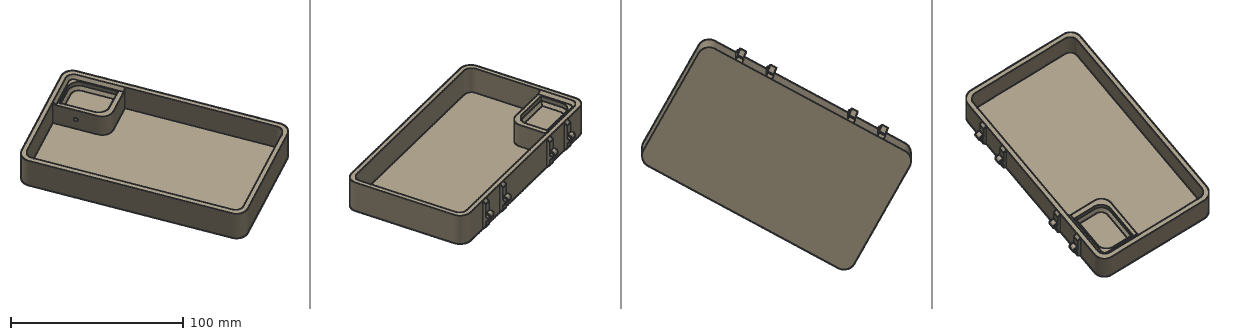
import cadquery as cq
import math

TRAY_LENGTH = 140.0
TRAY_WIDTH = 80.0
TRAY_HEIGHT = 20.0
WALL = 3.0
FLOOR = 3.0
OUTER_RADIUS = 7.0
INNER_RADIUS = 5.0

BLOCK_LENGTH = 35.0
BLOCK_WIDTH = 26.0
BLOCK_RADIUS = 7.0
BLOCK_TOP = 18.0
RIM_SLOPE = TRAY_HEIGHT - BLOCK_TOP

POCKET_LENGTH = 28.75
POCKET_WIDTH = 20.75
POCKET_RADIUS = 7.0
POCKET_DEPTH = 5.0
POCKET_CHAMFER = 2.0
POCKET_LEFT_RIM = 3.0
POCKET_FRONT_RIM = 2.5

HOLE_DIAMETER = 2.5
HOLE_DEPTH = 3.0
HOLE_Z = (BLOCK_TOP + FLOOR) / 2
HOLE_FROM_INNER_WALL = 14.25

LUG_WIDTH = 4.0
LUG_PLATE = 2.0
KNUCKLE_RADIUS = 2.0
PIN_DIAMETER = 2.5
PIN_OFFSET = 3.25
PIN_Z = TRAY_HEIGHT / 2
SUPPORT_FOOT_Z = 3.0
LUG_X = (-47.0, -27.0, 27.0, 47.0)

BACK = TRAY_WIDTH / 2
INNER_LEFT = WALL - TRAY_LENGTH / 2
INNER_BACK = BACK - WALL
BLOCK_FRONT = INNER_BACK - BLOCK_WIDTH


def cavity_prism(bottom, top):
    """Rounded prism with the plan outline of the tray's cavity."""
    return (
        cq.Workplane("XY", origin=(0, 0, bottom))
        .rect(TRAY_LENGTH - 2 * WALL, TRAY_WIDTH - 2 * WALL)
        .extrude(top - bottom)
        .edges("|Z")
        .fillet(INNER_RADIUS)
    )


def make_tray():
    """Open tray with rounded corners inside and out."""
    outside = (
        cq.Workplane("XY")
        .rect(TRAY_LENGTH, TRAY_WIDTH)
        .extrude(TRAY_HEIGHT)
        .edges("|Z")
        .fillet(OUTER_RADIUS)
    )
    return outside.cut(cavity_prism(FLOOR, TRAY_HEIGHT))


def make_block():
    """Corner block whose top slopes up to the rim along the tray's left and back walls."""
    block = (
        cq.Workplane("XY")
        .box(BLOCK_LENGTH, BLOCK_WIDTH, TRAY_HEIGHT, centered=False)
        .translate((INNER_LEFT, BLOCK_FRONT, 0))
        .edges("|Z and >X and <Y")
        .fillet(BLOCK_RADIUS)
    )
    return block.intersect(cavity_prism(0, TRAY_HEIGHT)).cut(sloped_clearance())


def sloped_clearance():
    """Space above the block: the cavity outline, narrowing down the slope to the block's top."""
    space = cavity_prism(BLOCK_TOP, TRAY_HEIGHT + RIM_SLOPE)
    return space.faces("<Z").edges().chamfer(RIM_SLOPE)


def make_pocket():
    """Pocket volume with two opposite rounded corners and a chamfered floor."""
    left = INNER_LEFT + POCKET_LEFT_RIM
    front = BLOCK_FRONT + POCKET_FRONT_RIM
    bottom = BLOCK_TOP - POCKET_DEPTH
    pocket = (
        cq.Workplane("XY")
        .box(POCKET_LENGTH, POCKET_WIDTH, POCKET_DEPTH, centered=False)
        .translate((left, front, bottom))
    )
    pocket = pocket.edges("|Z and ((<X and >Y) or (>X and <Y))").fillet(POCKET_RADIUS)
    return pocket.faces("<Z").edges().chamfer(POCKET_CHAMFER)


def make_hole():
    """Blind cylinder running back from the front face of the block."""
    return (
        cq.Workplane("XZ", origin=(INNER_LEFT + HOLE_FROM_INNER_WALL, BLOCK_FRONT, HOLE_Z))
        .circle(HOLE_DIAMETER / 2)
        .extrude(-HOLE_DEPTH)
    )


def make_lug(x):
    """Chamfered back plate carrying a pin knuckle on a sloping support."""
    plane = cq.Plane(origin=(x - LUG_WIDTH / 2, BACK, 0), xDir=(0, 1, 0), normal=(1, 0, 0))
    plate = (
        cq.Workplane(plane)
        .moveTo(0, 0)
        .lineTo(LUG_PLATE, LUG_PLATE)
        .lineTo(LUG_PLATE, TRAY_HEIGHT - LUG_PLATE)
        .lineTo(0, TRAY_HEIGHT)
        .close()
        .extrude(LUG_WIDTH)
    )
    rise = PIN_Z - SUPPORT_FOOT_Z
    foot_to_pin = math.hypot(PIN_OFFSET, rise)
    slope = math.atan2(rise, PIN_OFFSET) - math.asin(KNUCKLE_RADIUS / foot_to_pin)
    tangent_y = PIN_OFFSET + KNUCKLE_RADIUS * math.sin(slope)
    tangent_z = PIN_Z - KNUCKLE_RADIUS * math.cos(slope)
    support = (
        cq.Workplane(plane)
        .moveTo(0, SUPPORT_FOOT_Z)
        .lineTo(tangent_y, tangent_z)
        .lineTo(PIN_OFFSET, PIN_Z)
        .lineTo(0, PIN_Z)
        .close()
        .extrude(LUG_WIDTH)
    )
    pin_axis = cq.Workplane(plane).center(PIN_OFFSET, PIN_Z)
    knuckle = pin_axis.circle(KNUCKLE_RADIUS).extrude(LUG_WIDTH)
    pin = pin_axis.circle(PIN_DIAMETER / 2).extrude(LUG_WIDTH)
    return knuckle.union(support).cut(pin).union(plate)


result = make_tray().union(make_block()).cut(make_pocket()).cut(make_hole())
for lug_x in LUG_X:
    result = result.union(make_lug(lug_x))